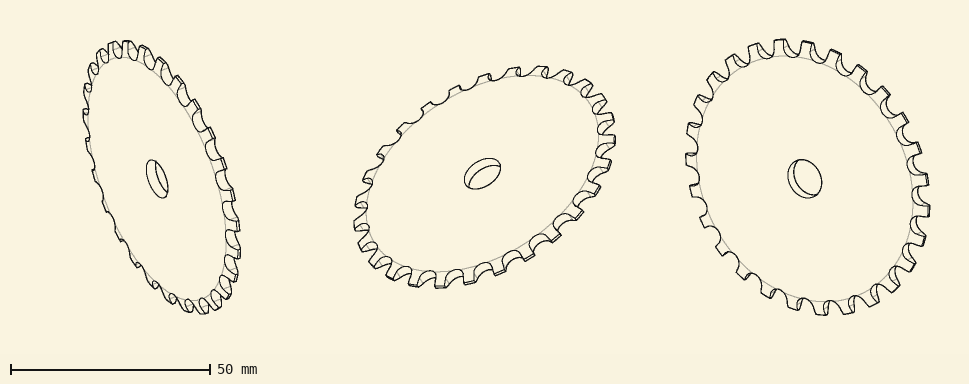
import cadquery as cq
import math

tooth_count = 27
tip_radius = 36.1
face_radius = 32.2
thickness = 2.8
tooth_side_radius = 8.0
pitch_radius = 34.4
seat_radius = 2.5
bore_diameter = 10.0

tooth_angle = 360 / tooth_count
half_tooth_angle = math.radians(tooth_angle / 2)


def make_blank():
    """Bored disc with a rim that narrows along arcs tangent to its flat faces."""
    half_thickness = thickness / 2
    bore_radius = bore_diameter / 2

    def half_width(radius):
        run = radius - face_radius
        drop = tooth_side_radius - math.sqrt(tooth_side_radius**2 - run**2)
        return half_thickness - drop

    middle_radius = (face_radius + tip_radius) / 2
    return (
        cq.Workplane("YZ")
        .moveTo(-half_thickness, bore_radius)
        .lineTo(-half_thickness, face_radius)
        .threePointArc((-half_width(middle_radius), middle_radius), (-half_width(tip_radius), tip_radius))
        .lineTo(half_width(tip_radius), tip_radius)
        .threePointArc((half_width(middle_radius), middle_radius), (half_thickness, face_radius))
        .lineTo(half_thickness, bore_radius)
        .close()
        .revolve(360, (0, 0, 0), (1, 0, 0))
    )


def make_gap():
    """Cutter for one gap on +Z: a round seat with walls parallel to the neighbouring teeth."""
    wall_length = 2 * (tip_radius - pitch_radius)
    seat_x = seat_radius * math.cos(half_tooth_angle)
    seat_z = pitch_radius - seat_radius * math.sin(half_tooth_angle)
    top_x = seat_x + wall_length * math.sin(half_tooth_angle)
    top_z = seat_z + wall_length * math.cos(half_tooth_angle)
    return (
        cq.Workplane("XZ")
        .moveTo(-top_x, top_z)
        .lineTo(-seat_x, seat_z)
        .threePointArc((0, pitch_radius - seat_radius), (seat_x, seat_z))
        .lineTo(top_x, top_z)
        .close()
        .extrude(thickness, both=True)
    )


result = make_blank()

gap = make_gap()
for index in range(tooth_count):
    angle = (index + 0.5) * tooth_angle
    result = result.cut(gap.rotate((0, 0, 0), (0, 1, 0), angle))